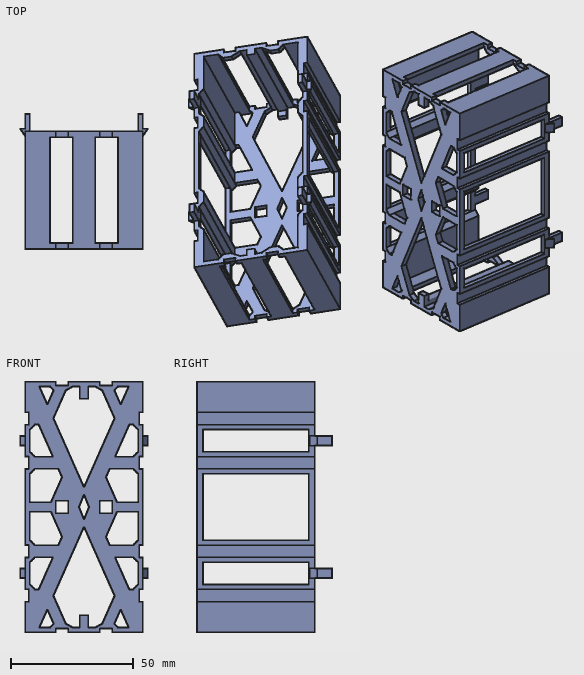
import cadquery as cq
WIDTH = 48.0
DEPTH = 48.0
HEIGHT = 102.0
WALL = 2.0
PANEL_THICKNESS = 2.5
SIDE = WIDTH / 2
TOP = HEIGHT / 2
FRONT = -DEPTH / 2
REAR = DEPTH / 2
INNER_X = SIDE - WALL
INNER_Z = TOP - WALL
OVERSHOOT = 1.0

CHANNEL_WIDTH = 5.0
CHANNEL_DEPTH = 1.5
RIB_HEIGHT = 2.0
SIDE_RIB_HALF_BASE = CHANNEL_WIDTH / 2 + RIB_HEIGHT
END_RIB_INNER = 4.6
END_RIB_OUTER = 13.8
END_RIB_CREST = 8.2
CHANNEL_X = 9.0
CHANNEL_PITCH_Z = 18.0

WINDOW_MARGIN = 2.5
WINDOW_Y = (FRONT + WINDOW_MARGIN, REAR - WINDOW_MARGIN)

SLOPE = 2.255
CROSS_OFFSET = 8.15
STRUT_LOWER = 64.1
STRUT_UPPER = 75.5
HUB_OFFSET = 32.4
DIAMOND_HALF_HEIGHT = 5.0
DIAMOND_HALF_WIDTH = 2.0
CENTRE_BAR = 2.0
SQUARE_HOLE = 5.0
TONGUE_WIDTH = 3.5
TONGUE_LENGTH = 5.0

RAIL_HEIGHT = 2.5
RAIL_FILLET = 0.5

CLIP_LENGTH = 7.0
CLIP_HEIGHT = 4.0
CLIP_Z = 27.0
HOOK_REACH = 2.0
HOOK_LENGTH = 3.0
HOOK_OFFSET = 1.0


def prism(points, y_start, y_end):
    """Extrude an XZ outline from y_start to y_end."""
    plane = cq.Workplane("XZ", origin=(0, y_start, 0))
    return plane.polyline(points).close().extrude(y_start - y_end)


def block(x_range, y_range, z_range):
    """Box spanning the three (start, end) ranges."""
    sizes = [end - start for start, end in (x_range, y_range, z_range)]
    corner = (x_range[0], y_range[0], z_range[0])
    return cq.Workplane("XY").box(*sizes, centered=False).translate(corner)


def mirrored(points, x_sign, z_sign):
    """The XZ outline with the given signs applied to its coordinates."""
    return [(x_sign * x, z_sign * z) for x, z in points]


def four_ways(points):
    """The outline mirrored into all four XZ quadrants."""
    return [mirrored(points, x_sign, z_sign) for x_sign in (-1, 1) for z_sign in (-1, 1)]


def side_rib(centre):
    """Rib on the inside of the +X wall behind a plain channel."""
    flat = CHANNEL_WIDTH / 2
    return [
        (INNER_X, centre - SIDE_RIB_HALF_BASE),
        (INNER_X - RIB_HEIGHT, centre - flat),
        (INNER_X - RIB_HEIGHT, centre + flat),
        (INNER_X, centre + SIDE_RIB_HALF_BASE),
        (SIDE, centre + SIDE_RIB_HALF_BASE),
        (SIDE, centre - SIDE_RIB_HALF_BASE),
    ]


def corner_rib(centre):
    """Rib behind the outer side channel, carried on at full height to the end wall."""
    return [
        (INNER_X, centre - SIDE_RIB_HALF_BASE),
        (INNER_X - RIB_HEIGHT, centre - CHANNEL_WIDTH / 2),
        (INNER_X - RIB_HEIGHT, TOP),
        (SIDE, TOP),
        (SIDE, centre - SIDE_RIB_HALF_BASE),
    ]


def end_rib():
    """Rib under the top wall; its inner flank is shallower than the outer one."""
    return [
        (END_RIB_INNER, INNER_Z),
        (END_RIB_CREST, INNER_Z - RIB_HEIGHT),
        (END_RIB_OUTER - RIB_HEIGHT, INNER_Z - RIB_HEIGHT),
        (END_RIB_OUTER, INNER_Z),
        (END_RIB_OUTER, TOP),
        (END_RIB_INNER, TOP),
    ]


def make_tube():
    """Open-ended square tube with ribs inside its walls."""
    tube = block((-SIDE, SIDE), (FRONT, REAR), (-TOP, TOP))
    hollow = block((-INNER_X, INNER_X), (FRONT - OVERSHOOT, REAR + OVERSHOOT), (-INNER_Z, INNER_Z))
    tube = tube.cut(hollow)
    for rib in (side_rib(CHANNEL_PITCH_Z), corner_rib(2 * CHANNEL_PITCH_Z), end_rib()):
        for outline in four_ways(rib):
            tube = tube.union(prism(outline, FRONT, REAR))
    return tube


def line_x(z, intercept):
    """X at height z on the rising diagonal z = SLOPE * x + intercept."""
    return (z - intercept) / SLOPE


def crossing(falling, rising):
    """Meeting point of z = -SLOPE * x + falling and z = SLOPE * x + rising."""
    return ((falling - rising) / (2 * SLOPE), (falling + rising) / 2)


def lattice_openings():
    """Outlines of the panel openings of the upper left quarter."""
    half = CHANNEL_WIDTH / 2
    upper_bar = 2 * CHANNEL_PITCH_Z - half
    lower_bar_top = CHANNEL_PITCH_Z + half
    lower_bar = CHANNEL_PITCH_Z - half
    corner_triangle = [
        (-line_x(INNER_Z, CROSS_OFFSET), INNER_Z),
        crossing(CROSS_OFFSET, STRUT_UPPER),
        (line_x(INNER_Z, STRUT_UPPER), INNER_Z),
    ]
    centre_kite = [
        (0, CROSS_OFFSET),
        crossing(CROSS_OFFSET, STRUT_LOWER),
        (line_x(INNER_Z, STRUT_LOWER), INNER_Z),
        (0, INNER_Z),
    ]
    upper_side = [
        (-INNER_X, upper_bar),
        (-line_x(upper_bar, -CROSS_OFFSET), upper_bar),
        (-line_x(lower_bar_top, -CROSS_OFFSET), lower_bar_top),
        (-INNER_X, lower_bar_top),
    ]
    lower_side = [
        (-INNER_X, lower_bar),
        (-line_x(lower_bar, -CROSS_OFFSET), lower_bar),
        crossing(-CROSS_OFFSET, HUB_OFFSET),
        (line_x(CENTRE_BAR, HUB_OFFSET), CENTRE_BAR),
        (-INNER_X, CENTRE_BAR),
    ]
    return [corner_triangle, centre_kite, upper_side, lower_side]


def make_panel():
    """Front panel pierced into a cross-braced lattice."""
    panel_rear = FRONT + PANEL_THICKNESS
    panel = block((-SIDE, SIDE), (FRONT, panel_rear), (-TOP, TOP))
    for outline in lattice_openings():
        for opening in four_ways(outline):
            panel = panel.cut(prism(opening, FRONT, panel_rear))
    diamond = [
        (0, DIAMOND_HALF_HEIGHT),
        (DIAMOND_HALF_WIDTH, 0),
        (0, -DIAMOND_HALF_HEIGHT),
        (-DIAMOND_HALF_WIDTH, 0),
    ]
    panel = panel.cut(prism(diamond, FRONT, panel_rear))
    half = SQUARE_HOLE / 2
    for x in (-CHANNEL_X, CHANNEL_X):
        panel = panel.cut(block((x - half, x + half), (FRONT, panel_rear), (-half, half)))
    return panel


def make_tongues():
    """Tongues hanging into the large openings, each with its rail along the wall."""
    half = TONGUE_WIDTH / 2
    panel_rear = FRONT + PANEL_THICKNESS
    tongue = block((-half, half), (FRONT, panel_rear), (INNER_Z - TONGUE_LENGTH, INNER_Z))
    rail = block((-half, half), (FRONT, REAR), (INNER_Z - RAIL_HEIGHT, INNER_Z))
    rail = rail.edges("|Y and <Z").fillet(RAIL_FILLET)
    upper = tongue.union(rail)
    return upper.union(upper.mirror("XY"))


def cut_channels(body):
    """Grooves along the whole outside of the four walls."""
    half = CHANNEL_WIDTH / 2
    y_range = (FRONT - OVERSHOOT, REAR + OVERSHOOT)
    for sign in (-1, 1):
        x_range = sorted((sign * (SIDE - CHANNEL_DEPTH), sign * (SIDE + OVERSHOOT)))
        for n in (-2, -1, 1, 2):
            z = n * CHANNEL_PITCH_Z
            body = body.cut(block(x_range, y_range, (z - half, z + half)))
        z_range = sorted((sign * (TOP - CHANNEL_DEPTH), sign * (TOP + OVERSHOOT)))
        for x in (-CHANNEL_X, CHANNEL_X):
            body = body.cut(block((x - half, x + half), y_range, z_range))
    return body


def cut_side_windows(body):
    """Windows between the side ribs, through both side walls."""
    inner_edge = CHANNEL_PITCH_Z - SIDE_RIB_HALF_BASE
    middle = CHANNEL_PITCH_Z + SIDE_RIB_HALF_BASE
    outer_edge = 2 * CHANNEL_PITCH_Z - SIDE_RIB_HALF_BASE
    x_range = (-SIDE - OVERSHOOT, SIDE + OVERSHOOT)
    for z_range in ((-outer_edge, -middle), (-inner_edge, inner_edge), (middle, outer_edge)):
        body = body.cut(block(x_range, WINDOW_Y, z_range))
    return body


def cut_end_windows(body):
    """Windows along the channels, through the top and bottom walls."""
    z_range = (-TOP - OVERSHOOT, TOP + OVERSHOOT)
    for x_range in ((-END_RIB_OUTER, -END_RIB_INNER), (END_RIB_INNER, END_RIB_OUTER)):
        body = body.cut(block(x_range, WINDOW_Y, z_range))
    return body


def make_clips():
    """Four tabs behind the side walls, each with an outward wedge hook."""
    hook_face = REAR + HOOK_OFFSET
    outline = [
        (-SIDE, hook_face - HOOK_LENGTH),
        (-SIDE - HOOK_REACH, hook_face),
        (-SIDE, hook_face),
        (-SIDE, REAR + CLIP_LENGTH),
        (-INNER_X, REAR + CLIP_LENGTH),
        (-INNER_X, REAR - WINDOW_MARGIN),
        (-SIDE, REAR - WINDOW_MARGIN),
    ]
    left = cq.Workplane("XY").polyline(outline).close().extrude(CLIP_HEIGHT)
    clips = []
    for z in (-CLIP_Z, CLIP_Z):
        clip = left.translate((0, 0, z - CLIP_HEIGHT / 2))
        clips += [clip, clip.mirror("YZ")]
    return clips


body = make_tube().union(make_panel()).union(make_tongues())
body = cut_channels(body)
body = cut_side_windows(body)
body = cut_end_windows(body)
for clip in make_clips():
    body = body.union(clip)

result = body